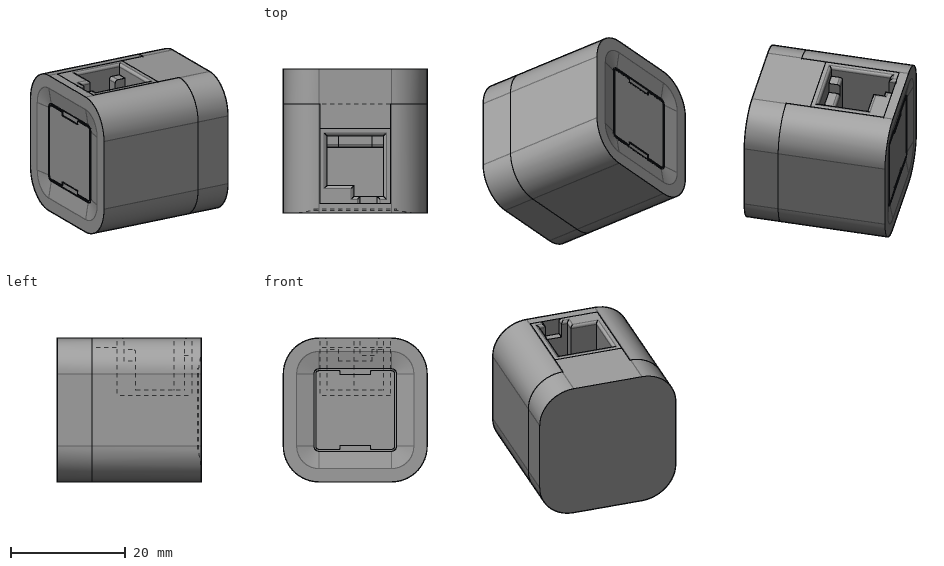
import cadquery as cq
import math

LENGTH = 25.15
WIDTH = 25.1
CORNER_CENTRE = 6.3
CORNER_RADIUS = WIDTH / 2 - CORNER_CENTRE
FRONT_Y = -LENGTH / 2
REAR_Y = LENGTH / 2
TOP_Z = WIDTH / 2

CAP_LENGTH = 6.09
CAP_Y = REAR_Y - CAP_LENGTH
FRONT_WALL = 1.65
TONGUE_THICKNESS = FRONT_WALL

FUNNEL_HALF_OUTER = 10.2
FUNNEL_HALF_INNER = 7.2
FUNNEL_DEPTH = 0.5
SEAT_DEPTH = 0.2
SEAT_Y = FRONT_Y + FUNNEL_DEPTH + SEAT_DEPTH

PANEL_GAP = 0.35
PANEL_SIZE = 2 * (FUNNEL_HALF_INNER - PANEL_GAP)
PANEL_CORNER_RADIUS = 0.45
NOTCH_WIDTH = 5.28
NOTCH_DEPTH = 0.68
NOTCH_EDGE_RADIUS = 0.13

SLOT_INSET = 0.13
SLOT_WIDTH = 2 * (CORNER_CENTRE - SLOT_INSET)
SOCKET_LENGTH = 13.08
SOCKET_HEIGHT = 10.05
SOCKET_FRONT_Y = FRONT_Y + FRONT_WALL
SOCKET_REAR_Y = SOCKET_FRONT_Y + SOCKET_LENGTH

OPENING_HALF_WIDTH = 4.93
OPENING_DEPTH = 9.05
OPENING_WALL = 1.25
OPENING_FRONT_Y = SOCKET_FRONT_Y + OPENING_WALL
OPENING_REAR_Y = SOCKET_REAR_Y - OPENING_WALL
STEP_X = -0.23
STEP_LENGTH = 1.89
RIM_RADIUS = 0.5

LATCH_WIDTH = 2.97
LATCH_X = 2.35
LATCH_DEPTH = 3.02

LEDGE_LENGTH = 2.0
LEDGE_DROP = 4.0
LEDGE_EDGE_RADIUS = 0.53
POST_WIDTH = 2.0
POST_DROP = 1.99


def rounded_square(size, radius, start_y, length, taper=0):
    """Prism along +Y with a rounded square section, narrowing by the taper angle."""
    outline = cq.Sketch().rect(size, size).vertices().fillet(radius)
    start = cq.Plane(origin=(0, start_y, 0), xDir=(1, 0, 0), normal=(0, 1, 0))
    return cq.Workplane(start).placeSketch(outline).extrude(length, taper=taper)


def block(x_range, y_range, z_range):
    """Box between the given pairs of limits."""
    x0, x1 = x_range
    y0, y1 = y_range
    z0, z1 = z_range
    return cq.Workplane("XY").box(x1 - x0, y1 - y0, z1 - z0, centered=False).translate((x0, y0, z0))


def centred_block(width, y_range, depth):
    """Box centred on X that reaches down from the top face."""
    return block((-width / 2, width / 2), y_range, (TOP_Z - depth, TOP_Z))


def make_housing():
    body = rounded_square(WIDTH, CORNER_RADIUS, FRONT_Y, LENGTH - CAP_LENGTH)

    taper = math.degrees(math.atan2(FUNNEL_HALF_OUTER - FUNNEL_HALF_INNER, FUNNEL_DEPTH))
    funnel_radius = FUNNEL_HALF_OUTER - CORNER_CENTRE
    funnel = rounded_square(2 * FUNNEL_HALF_OUTER, funnel_radius, FRONT_Y, FUNNEL_DEPTH, taper)

    seat_radius = FUNNEL_HALF_INNER - CORNER_CENTRE
    seat = rounded_square(2 * FUNNEL_HALF_INNER, seat_radius, FRONT_Y + FUNNEL_DEPTH, SEAT_DEPTH)

    tongue_slot = centred_block(SLOT_WIDTH, (SOCKET_FRONT_Y, CAP_Y), TONGUE_THICKNESS)
    socket_bay = centred_block(SLOT_WIDTH, (SOCKET_FRONT_Y, SOCKET_REAR_Y), SOCKET_HEIGHT)
    return body.cut(funnel).cut(seat).cut(tongue_slot).cut(socket_bay)


def make_rear_cap():
    cap = rounded_square(WIDTH, CORNER_RADIUS, CAP_Y, CAP_LENGTH)
    tongue = centred_block(SLOT_WIDTH, (SOCKET_REAR_Y, CAP_Y), TONGUE_THICKNESS)
    return cap.union(tongue)


def make_front_panel():
    front_y = SEAT_Y - SEAT_DEPTH
    panel = rounded_square(PANEL_SIZE, PANEL_CORNER_RADIUS, front_y, SEAT_DEPTH)
    half_notch = NOTCH_WIDTH / 2
    for edge_z in (-PANEL_SIZE / 2, PANEL_SIZE / 2):
        z_range = (edge_z - NOTCH_DEPTH, edge_z + NOTCH_DEPTH)
        panel = panel.cut(block((-half_notch, half_notch), (front_y, SEAT_Y), z_range))
        rim_zone = cq.selectors.BoxSelector(
            (-NOTCH_WIDTH, front_y, edge_z - NOTCH_DEPTH / 2),
            (NOTCH_WIDTH, SEAT_Y, edge_z + NOTCH_DEPTH / 2),
        )
        panel = panel.edges("|Y").edges(rim_zone).fillet(NOTCH_EDGE_RADIUS)
    return panel


def plug_opening():
    """Stepped opening joined to the latch slot, as one cutting body."""
    opening = block(
        (-OPENING_HALF_WIDTH, OPENING_HALF_WIDTH),
        (OPENING_FRONT_Y, OPENING_REAR_Y),
        (TOP_Z - OPENING_DEPTH, TOP_Z),
    )
    step = block(
        (-OPENING_HALF_WIDTH, STEP_X),
        (OPENING_FRONT_Y, OPENING_FRONT_Y + STEP_LENGTH),
        (TOP_Z - OPENING_DEPTH, TOP_Z),
    )
    latch_slot = block(
        (LATCH_X - LATCH_WIDTH / 2, LATCH_X + LATCH_WIDTH / 2),
        (SOCKET_FRONT_Y, OPENING_FRONT_Y),
        (TOP_Z - LATCH_DEPTH, TOP_Z),
    )
    return opening.cut(step).union(latch_slot)


def ledge_piece(x_range, drop):
    """Piece standing on the floor of the opening against its rear wall, its top front edge rounded."""
    piece = block(
        x_range,
        (OPENING_REAR_Y - LEDGE_LENGTH, OPENING_REAR_Y),
        (TOP_Z - OPENING_DEPTH, TOP_Z - drop),
    )
    return piece.edges(">Z and <Y").fillet(LEDGE_EDGE_RADIUS)


def make_socket():
    socket = centred_block(SLOT_WIDTH, (SOCKET_FRONT_Y, SOCKET_REAR_Y), SOCKET_HEIGHT)
    socket = socket.cut(plug_opening())

    margin = 0.03
    rim = cq.selectors.BoxSelector(
        (-OPENING_HALF_WIDTH - margin, SOCKET_FRONT_Y + margin, TOP_Z - margin),
        (OPENING_HALF_WIDTH + margin, OPENING_REAR_Y + margin, TOP_Z + margin),
    )
    socket = socket.edges(rim).fillet(RIM_RADIUS)

    post_inner_x = OPENING_HALF_WIDTH - POST_WIDTH
    socket = socket.union(ledge_piece((-post_inner_x, post_inner_x), LEDGE_DROP))
    for x_range in ((-OPENING_HALF_WIDTH, -post_inner_x), (post_inner_x, OPENING_HALF_WIDTH)):
        socket = socket.union(ledge_piece(x_range, POST_DROP))
    return socket


housing = make_housing()
rear_cap = make_rear_cap()
front_panel = make_front_panel()
socket = make_socket()

result = cq.Compound.makeCompound(
    [housing.val(), rear_cap.val(), front_panel.val(), socket.val()]
)